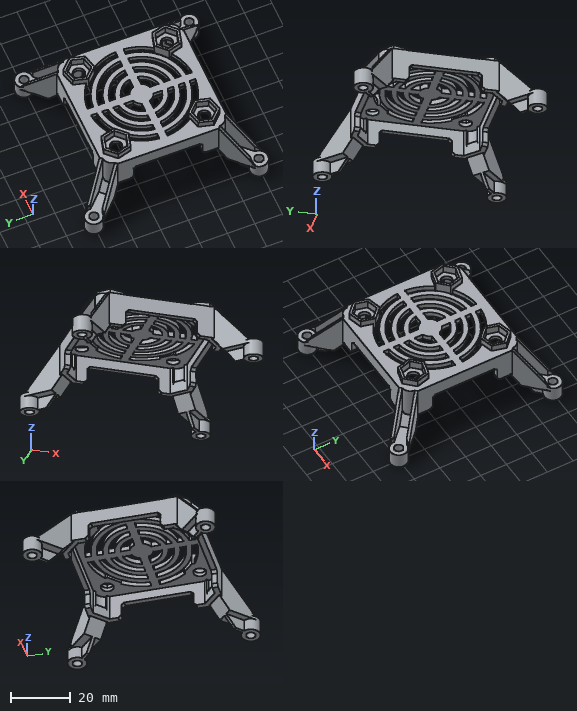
import cadquery as cq
import math

plate_top = 21.0
nut_boss_height = 2.5
plate_thickness = 2.0
arch_top = 15.5
leg_bottom = 9.4
foot_height = 5.9
arm_bottom = 4.5

hood_size = 46.0
hood_wall = 2.0
cavity_corner_radius = 4.0
post_radius = 3.3
post_distance = 26.7
arch_width = 25.0
arch_chamfer = 1.0

screw_spacing = 32.0
screw_hole_diameter = 4.3
nut_boss_circumradius = 5.3
nut_pocket_circumradius = 4.25
nut_pocket_depth = 3.0
nut_turn = 30.0

grille_radius = 19.0
slot_width = 2.0
slot_pitch = 4.0
slot_count = 4
hub_radius = 4.0
spoke_width = 3.0

foot_spacing = 60.0
foot_radius = 3.3
foot_hole_diameter = 3.2
arm_width = 2 * foot_radius
head_clearance_radius = 3.15
channel_width = 4.3
channel_bend = 32.7
rib_thickness = 1.2
rib_offset = -0.4
rib_toe = 36.0
leg_root = 28.3
arm_inner_end = 26.5

screw_distance = screw_spacing / math.sqrt(2)
foot_distance = foot_spacing / math.sqrt(2)
hood_corner_distance = hood_size / math.sqrt(2)
wall_top_start = hood_corner_distance - arm_width / 2
hood_height = plate_top - leg_bottom
cavity_size = hood_size - 2 * hood_wall
under_slope = leg_bottom / (rib_toe - leg_root)
corner_angles = (45, 135, 225, 315)


def box_up(length, width, height, base):
    """Box centred on the Z axis, standing on the given base height."""
    return cq.Workplane("XY").workplane(offset=base).rect(length, width).extrude(height)


def column(radius, base, top, distance=0.0):
    """Vertical cylinder standing on the +X axis at the given distance."""
    return cq.Workplane("XY").workplane(offset=base).center(distance, 0).circle(radius).extrude(top - base)


def at_each_corner(shape):
    """Copies of a shape on the +X axis, turned onto the four diagonals."""
    copies = cq.Workplane("XY")
    for angle in corner_angles:
        copies = copies.add(shape.rotate((0, 0, 0), (0, 0, 1), angle))
    return copies.combine()


def underside_distance(height):
    """Distance from the centre at which the sloped underside has the given height."""
    return rib_toe - height / under_slope


def hood_block():
    """Solid hood with its corners cut back to the arm width and a round post bulging from each."""
    block = box_up(hood_size, hood_size, hood_height, leg_bottom)
    block = block.edges("|Z").chamfer(arm_width / math.sqrt(2))
    post = column(post_radius, leg_bottom, plate_top, post_distance)
    return block.union(at_each_corner(post))


def arch_cutter():
    """Opening below two opposite hood walls, leaving chamfered legs at the corners."""
    half = arch_width / 2
    outline = [
        (-half - arch_chamfer, leg_bottom),
        (-half, leg_bottom + arch_chamfer),
        (-half, arch_top - arch_chamfer),
        (-half + arch_chamfer, arch_top),
        (half - arch_chamfer, arch_top),
        (half, arch_top - arch_chamfer),
        (half, leg_bottom + arch_chamfer),
        (half + arch_chamfer, leg_bottom),
    ]
    return cq.Workplane("XZ").polyline(outline).close().extrude(hood_size, both=True)


def make_hood():
    """Hollow hood, open below, with an arch in each side."""
    cavity = box_up(cavity_size, cavity_size, hood_height - plate_thickness, leg_bottom)
    cavity = cavity.edges("|Z").fillet(cavity_corner_radius)
    hood = hood_block().cut(cavity)
    arch = arch_cutter()
    return hood.cut(arch).cut(arch.rotate((0, 0, 0), (0, 0, 1), 90))


def grille_cutter():
    """Ring slots through the top plate; the innermost one reaches in to the hub."""
    base = plate_top - plate_thickness
    rings = cq.Workplane("XY")
    for index in range(slot_count):
        outer = grille_radius - index * slot_pitch
        inner = outer - slot_width
        if index == slot_count - 1:
            inner = hub_radius
        ring = cq.Workplane("XY").workplane(offset=base).circle(outer).circle(inner)
        rings = rings.add(ring.extrude(plate_thickness))
    spokes = box_up(spoke_width, hood_size, plate_thickness, base)
    spokes = spokes.union(box_up(hood_size, spoke_width, plate_thickness, base))
    return rings.combine().cut(spokes)


def hexagon(circumradius, base, top):
    """Hexagonal prism at the +X screw place, one flat facing outward."""
    prism = cq.Workplane("XY").workplane(offset=base).polygon(6, 2 * circumradius).extrude(top - base)
    return prism.rotate((0, 0, 0), (0, 0, 1), nut_turn).translate((screw_distance, 0, 0))


def arm_prism(outline, width, shift=0.0):
    """Extrude a side outline of the arm, centred across the +X axis, then shift it sideways."""
    prism = cq.Workplane("XZ").polyline(outline).close().extrude(width / 2, both=True)
    return prism.translate((0, shift, 0))


def make_arm():
    """Arm and foot lying along +X."""
    body = arm_prism(
        [
            (arm_inner_end, leg_bottom),
            (arm_inner_end, plate_top),
            (wall_top_start, plate_top),
            (foot_distance, foot_height),
            (foot_distance, arm_bottom),
            (underside_distance(arm_bottom), arm_bottom),
            (leg_root, leg_bottom),
        ],
        arm_width,
    )
    rise = plate_top - foot_height
    channel = arm_prism(
        [
            (foot_distance, foot_height),
            (channel_bend, foot_height),
            (channel_bend - rise / under_slope, plate_top),
            (foot_distance, plate_top),
        ],
        channel_width,
    )
    rib = arm_prism(
        [
            (rib_toe, 0),
            (foot_distance, 0),
            (foot_distance, foot_height),
            (channel_bend, foot_height),
            (underside_distance(leg_bottom), leg_bottom),
        ],
        rib_thickness,
        rib_offset,
    )
    foot = column(foot_radius, 0, foot_height, foot_distance)
    head_clearance = column(head_clearance_radius, foot_height, plate_top, foot_distance)
    hole = column(foot_hole_diameter / 2, 0, plate_top, foot_distance)
    return body.cut(channel).cut(head_clearance).union(rib).union(foot).cut(hole)


arm = make_arm().cut(hood_block())
nut_top = plate_top + nut_boss_height
nut_boss = hexagon(nut_boss_circumradius, plate_top - plate_thickness, nut_top)
nut_pocket = hexagon(nut_pocket_circumradius, nut_top - nut_pocket_depth, nut_top)
screw_hole = column(screw_hole_diameter / 2, leg_bottom, nut_top, screw_distance)

result = make_hood().cut(grille_cutter())
result = result.union(at_each_corner(arm)).union(at_each_corner(nut_boss))
result = result.cut(at_each_corner(nut_pocket)).cut(at_each_corner(screw_hole))